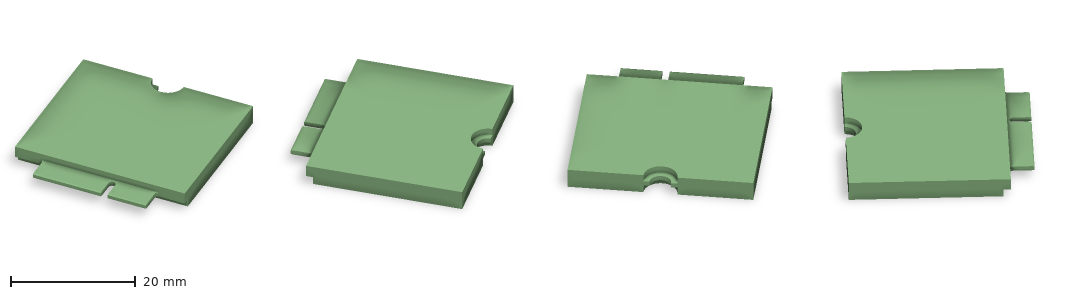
import cadquery as cq

WIDTH = 30.0
LENGTH = 30.0

BOTTOM_THICKNESS = 1.35
BOARD_THICKNESS = 0.8
TOP_THICKNESS = 1.2
BOARD_Z = BOTTOM_THICKNESS
TOP_Z = BOARD_Z + BOARD_THICKNESS

SHOULDER_Y = 4.0
BOTTOM_FRONT_Y = 5.15

TAB_WIDTH = 19.98
SHOULDER_FILLET = 0.5
BEVEL_DEPTH = 0.25
BEVEL_HEIGHT = 0.1
KEY_X = 2.65
KEY_WIDTH = 1.2
KEY_DEPTH = 3.5

SCREW_RADIUS = 1.75
COVER_NOTCH_RADIUS = 2.73


def plate(front_y, bottom_z, thickness, notch_radius):
    """Full-width plate running to the rear edge, with the screw notch cut through it."""
    blank = (
        cq.Workplane("XY", origin=(-WIDTH / 2, front_y, bottom_z))
        .rect(WIDTH, LENGTH - front_y, centered=False)
        .extrude(thickness)
    )
    notch = cq.Workplane("XY", origin=(0, LENGTH, bottom_z)).circle(notch_radius).extrude(thickness)
    return blank.cut(notch)


def connector_tab():
    """Connector tongue with both faces bevelled at its tip."""
    return (
        cq.Workplane("YZ", origin=(-TAB_WIDTH / 2, 0, BOARD_Z))
        .moveTo(SHOULDER_Y, 0)
        .lineTo(BEVEL_DEPTH, 0)
        .lineTo(0, BEVEL_HEIGHT)
        .lineTo(0, BOARD_THICKNESS - BEVEL_HEIGHT)
        .lineTo(BEVEL_DEPTH, BOARD_THICKNESS)
        .lineTo(SHOULDER_Y, BOARD_THICKNESS)
        .close()
        .extrude(TAB_WIDTH)
    )


def key_slot():
    """Round-ended keying slot, open at the connector tip."""
    radius = KEY_WIDTH / 2
    straight_depth = KEY_DEPTH - radius
    return (
        cq.Workplane("XY", origin=(KEY_X, 0, BOARD_Z))
        .moveTo(-radius, 0)
        .lineTo(-radius, straight_depth)
        .threePointArc((0, KEY_DEPTH), (radius, straight_depth))
        .lineTo(radius, 0)
        .close()
        .extrude(BOARD_THICKNESS)
    )


def circuit_board():
    """Board with its connector tab, filleted where the tab meets the shoulders."""
    body = plate(SHOULDER_Y, BOARD_Z, BOARD_THICKNESS, SCREW_RADIUS).union(connector_tab())
    for side in (-1, 1):
        corner = (side * TAB_WIDTH / 2, SHOULDER_Y, BOARD_Z + BOARD_THICKNESS / 2)
        body = body.edges(cq.selectors.NearestToPointSelector(corner)).fillet(SHOULDER_FILLET)
    return body.cut(key_slot())


bottom_cover = plate(BOTTOM_FRONT_Y, 0, BOTTOM_THICKNESS, COVER_NOTCH_RADIUS)
board = circuit_board()
top_cover = plate(SHOULDER_Y, TOP_Z, TOP_THICKNESS, COVER_NOTCH_RADIUS)

result = cq.Compound.makeCompound([bottom_cover.val(), board.val(), top_cover.val()])